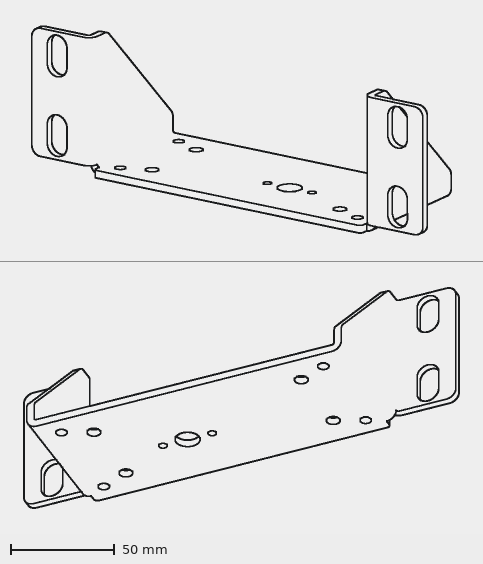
import cadquery as cq

length = 228.0
depth = 70.0
height = 70.0
front_y = -depth / 2
back_y = depth / 2

sheet = 3.9
inner_bend = 1.1
outer_bend = inner_bend + sheet
wall_inner_x = 79.1
wall_outer_x = wall_inner_x + sheet
base_edge_x = wall_inner_x - inner_bend
base_corner_radius = 2.0
corner_radius = 5.0

wall_rear_height = 13.7
slope_run = height - wall_rear_height

slot_width = 11.5
slot_length = 21.0
slot_x = 99.2
slot_spacing = 40.4
slot_center_z = (height + outer_bend) / 2

outer_hole_diameter = 5.5
outer_hole_x = 69.0
outer_hole_y = 25.0
inner_hole_diameter = 6.5
inner_hole_x = 54.7
inner_hole_y = 19.0
center_hole_diameter = 12.0
center_hole_x = 16.0
center_hole_y = -5.0
pin_hole_diameter = 4.0
pin_hole_offset = 13.0


def make_base():
    """Flat floor between the bends, with its two front corners rounded."""
    plate = cq.Workplane("XY").box(2 * base_edge_x, depth, sheet, centered=(True, True, False))
    return plate.edges("|Z and <Y").fillet(base_corner_radius)


def make_lower_bend():
    """Quarter bend joining the floor to the right wall, stopping short of the ear."""
    front_end = front_y + outer_bend
    quarter = cq.Workplane("XZ", origin=(base_edge_x, back_y, outer_bend))
    ring = quarter.circle(outer_bend).circle(inner_bend).extrude(back_y - front_end)
    corner = cq.Workplane("XY").box(outer_bend, depth, outer_bend, centered=(False, True, False))
    return ring.intersect(corner.translate((base_edge_x, 0, 0)))


def make_wall_and_ear():
    """Right wall bent outward into a mounting ear, built above the lower bend."""
    rise = height - outer_bend
    bend_y = front_y + outer_bend
    ear_bend_x = wall_inner_x + outer_bend
    diagonal = 0.5 ** 0.5
    outer_mid = (ear_bend_x - outer_bend * diagonal, bend_y - outer_bend * diagonal)
    inner_mid = (ear_bend_x - inner_bend * diagonal, bend_y - inner_bend * diagonal)
    strip = (
        cq.Workplane("XY", origin=(0, 0, outer_bend))
        .moveTo(wall_inner_x, back_y)
        .lineTo(wall_inner_x, bend_y)
        .threePointArc(outer_mid, (ear_bend_x, front_y))
        .lineTo(length / 2, front_y)
        .lineTo(length / 2, front_y + sheet)
        .lineTo(ear_bend_x, front_y + sheet)
        .threePointArc(inner_mid, (wall_outer_x, bend_y))
        .lineTo(wall_outer_x, back_y)
        .close()
        .extrude(rise)
    )
    strip = strip.edges("|Y and >X").fillet(corner_radius)

    slope_cut = (
        cq.Workplane("YZ", origin=(wall_inner_x, 0, 0))
        .moveTo(back_y, wall_rear_height)
        .lineTo(back_y, height)
        .lineTo(back_y - slope_run, height)
        .close()
        .extrude(sheet)
    )
    strip = strip.cut(slope_cut)
    slope_ends = strip.faces(cq.selectors.DirectionMinMaxSelector(cq.Vector(0, 1, 1))).edges("|X")
    return slope_ends.fillet(corner_radius)


def make_ear_slots():
    """Cutters for the two vertical slots of the right ear."""
    return (
        cq.Workplane("XZ", origin=(slot_x, front_y + sheet, slot_center_z))
        .rarray(2.3, slot_spacing, 1, 2)
        .slot2D(slot_length, slot_width, 90)
        .extrude(sheet)
    )


def drill(body, points, diameter):
    """Cut round holes through the base at the given XY points."""
    return body.cut(cq.Workplane("XY").pushPoints(points).circle(diameter / 2).extrude(sheet))


def rectangle_points(x, y):
    """Four points mirrored about both horizontal axes."""
    return [(side_x * x, side_y * y) for side_x in (-1, 1) for side_y in (-1, 1)]


base = make_base()
base = drill(base, rectangle_points(outer_hole_x, outer_hole_y), outer_hole_diameter)
base = drill(base, rectangle_points(inner_hole_x, inner_hole_y), inner_hole_diameter)
base = drill(base, [(center_hole_x, center_hole_y)], center_hole_diameter)
pin_points = [(center_hole_x + side * pin_hole_offset, center_hole_y) for side in (-1, 1)]
base = drill(base, pin_points, pin_hole_diameter)

right_bracket = make_wall_and_ear().cut(make_ear_slots()).union(make_lower_bend())
left_bracket = right_bracket.mirror("YZ")
result = base.union(right_bracket).union(left_bracket)